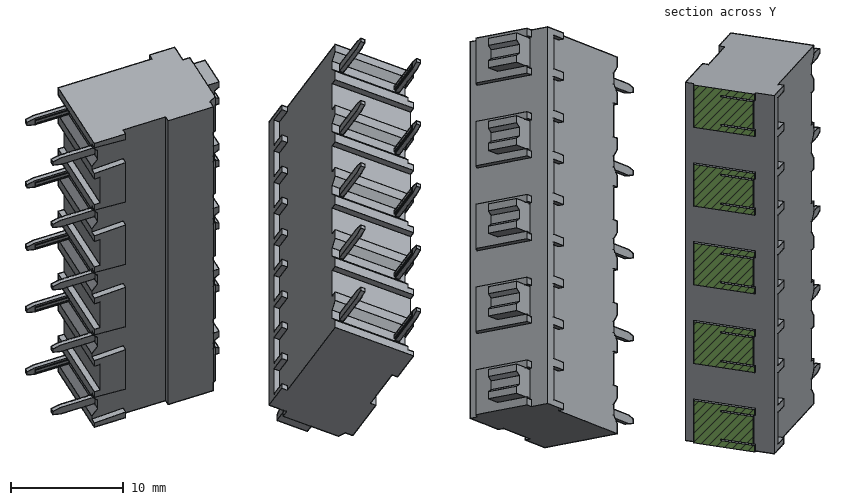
import cadquery as cq

POLE_COUNT = 5
PITCH = 7.62
POLE_WIDTH = 4.2
LENGTH = (POLE_COUNT - 1) * PITCH + POLE_WIDTH

WIDTH = 8.4
SHOULDER_Y = 11.55
FLANGE_DEPTH = 0.55
LEFT_FLANGE_Y = 9.1
LEFT_WALL_X = FLANGE_DEPTH
RIGHT_WALL_X = WIDTH - FLANGE_DEPTH
NOTCH_BOTTOM_Y = 3.05
NOTCH_TOP_Y = 7.15

FOOT_WIDTH = 4.5
FOOT_SPACING = PITCH - FOOT_WIDTH
FOOT_HEIGHT = 0.57
PRONG_LENGTH = 1.5
PRONG_WINDOW = 3.08

GROOVE_FLOOR = 1.0
GROOVE_MOUTH = 2.4

RECESS_MOUTH = 3.14
RECESS_BACK = 2.8

RIM_LEFT_X = 1.77
RIM_RIGHT_X = 7.65
RIM_HEIGHT = 0.67
RIM_CHAMFER_WIDTH = 0.35
RIM_WIDTH = 4.08
RIM_WINDOW = 2.88
RIM_LIP = 0.18

BUTTON_LEFT_X = 1.9
BUTTON_RIGHT_X = 4.95
BUTTON_WIDTH = 2.7
BUTTON_TOP_Y = 13.65
BUTTON_NOTCH_DEPTH = 0.45
BUTTON_NOTCH_MOUTH = 1.4
BUTTON_NOTCH_FLOOR = 0.8

PIN_TIP_Y = -3.5
PIN_TAPER_Y = -2.75
PIN_WIDTH = 0.8
PIN_TIP_WIDTH = 0.4
PIN_THICKNESS = 0.4
PIN_RIB_THICKNESS = 0.1
PIN_RIB_WIDTH = 0.4
PIN_LEFT_X = 1.27
PIN_RIGHT_X = 7.25

POLE_CENTERS = [(pole - (POLE_COUNT - 1) / 2) * PITCH for pole in range(POLE_COUNT)]
GAP_CENTERS = [(first + second) / 2 for first, second in zip(POLE_CENTERS, POLE_CENTERS[1:])]


def box(x_range, y_range, z_center, z_size):
    """Block between two X and two Y limits, centred on a height."""
    (x0, x1), (y0, y1) = x_range, y_range
    return cq.Workplane("XY").box(x1 - x0, y1 - y0, z_size).translate(
        ((x0 + x1) / 2, (y0 + y1) / 2, z_center)
    )


def profile_along_x(yz_points, x_range, z_center):
    """Extrude a (Y, Z) outline between two X limits, centred on a height."""
    x0, x1 = x_range
    return (
        cq.Workplane("YZ")
        .polyline(yz_points)
        .close()
        .extrude(x1 - x0)
        .translate((x0, 0, z_center))
    )


def symmetric_profile(half_points):
    """Complete a list of (Y, half width) points by mirroring it about Z = 0."""
    return half_points + [(y, -half) for y, half in reversed(half_points)]


def make_body():
    """Full-length housing without the raised rims."""
    outline = [
        (LEFT_WALL_X, 0),
        (WIDTH, 0),
        (WIDTH, NOTCH_BOTTOM_Y),
        (RIGHT_WALL_X, NOTCH_BOTTOM_Y),
        (RIGHT_WALL_X, NOTCH_TOP_Y),
        (WIDTH, NOTCH_TOP_Y),
        (WIDTH, SHOULDER_Y),
        (0, SHOULDER_Y),
        (0, LEFT_FLANGE_Y),
        (LEFT_WALL_X, LEFT_FLANGE_Y),
    ]
    return (
        cq.Workplane("XY").polyline(outline).close().extrude(LENGTH / 2, both=True)
    )


def make_foot_gap(z_center):
    """Clearance between two neighbouring feet."""
    return box((0, WIDTH), (0, FOOT_HEIGHT), z_center, FOOT_SPACING)


def make_prong_window(z_center, width):
    """Opening between two neighbouring prongs of the left flange."""
    return box((0, LEFT_WALL_X), (LEFT_FLANGE_Y, LEFT_FLANGE_Y + PRONG_LENGTH), z_center, width)


def make_foot_groove(z_center):
    """Groove with sloped walls across a foot, open towards the left."""
    half = [(0, GROOVE_MOUTH / 2), (FOOT_HEIGHT, GROOVE_FLOOR / 2)]
    return profile_along_x(symmetric_profile(half), (0, RIGHT_WALL_X), z_center)


def make_foot_recess(z_center):
    """Recess at the right end of a foot, narrowing away from the feet."""
    half = [(0, RECESS_MOUTH / 2), (NOTCH_BOTTOM_Y, RECESS_BACK / 2)]
    return profile_along_x(symmetric_profile(half), (RIGHT_WALL_X, WIDTH), z_center)


def make_rim(z_center):
    """Raised rim of one pole; the outermost rims run flush with the end faces."""
    rim_top = SHOULDER_Y + RIM_HEIGHT
    outline = [
        (RIM_LEFT_X, SHOULDER_Y),
        (RIM_RIGHT_X, SHOULDER_Y),
        (RIM_RIGHT_X - RIM_CHAMFER_WIDTH, rim_top),
        (RIM_LEFT_X, rim_top),
    ]
    z_low = -LENGTH / 2 if z_center == POLE_CENTERS[0] else z_center - RIM_WIDTH / 2
    z_high = LENGTH / 2 if z_center == POLE_CENTERS[-1] else z_center + RIM_WIDTH / 2
    rim = cq.Workplane("XY").workplane(offset=z_low).polyline(outline).close().extrude(z_high - z_low)

    window_x = (RIM_LEFT_X, BUTTON_RIGHT_X)
    lip_y = rim_top - RIM_LIP
    rim = rim.cut(box(window_x, (SHOULDER_Y, lip_y), z_center, RIM_WINDOW))
    return rim.cut(box(window_x, (lip_y, rim_top), z_center, BUTTON_WIDTH))


def make_button(z_center):
    """Push button with a notch across its top."""
    half = [
        (SHOULDER_Y, BUTTON_WIDTH / 2),
        (BUTTON_TOP_Y, BUTTON_WIDTH / 2),
        (BUTTON_TOP_Y, BUTTON_NOTCH_MOUTH / 2),
        (BUTTON_TOP_Y - BUTTON_NOTCH_DEPTH, BUTTON_NOTCH_FLOOR / 2),
    ]
    return profile_along_x(symmetric_profile(half), (BUTTON_LEFT_X, BUTTON_RIGHT_X), z_center)


def make_pin(outer_x, inward, z_center):
    """Flat pin with a tapered tip and a narrow rib on its inner face."""
    inner_x = outer_x + inward * PIN_THICKNESS
    rib_x = inner_x + inward * PIN_RIB_THICKNESS
    half = [
        (FOOT_HEIGHT, PIN_WIDTH / 2),
        (PIN_TAPER_Y, PIN_WIDTH / 2),
        (PIN_TIP_Y, PIN_TIP_WIDTH / 2),
    ]
    blade = profile_along_x(symmetric_profile(half), sorted((outer_x, inner_x)), z_center)
    rib = box(sorted((inner_x, rib_x)), (PIN_TAPER_Y, FOOT_HEIGHT), z_center, PIN_RIB_WIDTH)
    return blade.union(rib)


result = make_body()

for z in GAP_CENTERS:
    result = result.cut(make_foot_gap(z))
    result = result.cut(make_prong_window(z, FOOT_SPACING))

for z in POLE_CENTERS:
    result = result.cut(make_prong_window(z, PRONG_WINDOW))
    result = result.cut(make_foot_groove(z))
    result = result.cut(make_foot_recess(z))
    result = result.union(make_rim(z))
    result = result.union(make_button(z))
    result = result.union(make_pin(PIN_LEFT_X, 1, z))
    result = result.union(make_pin(PIN_RIGHT_X, -1, z))